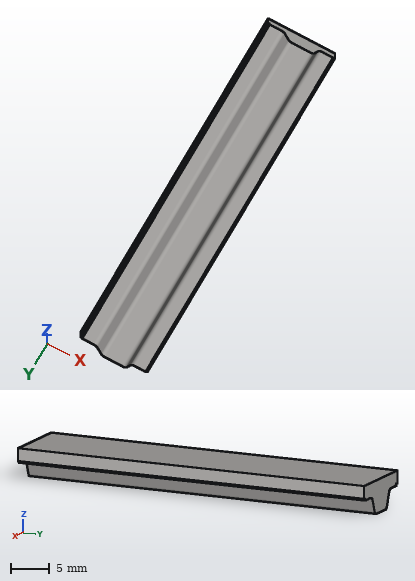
import cadquery as cq
import math

length = 50.0
width = 10.0
strip_thickness = 2.0
tooth_height = 2.5
tooth_root_width = 5.3
flank_angle = 20.0
tooth_radius = 0.6
step_size = 0.25

half_width = width / 2
half_root = tooth_root_width / 2
half_tip = half_root - tooth_height * math.tan(math.radians(flank_angle))
top_z = (tooth_height + strip_thickness) / 2
tip_z = -top_z
strip_bottom_z = top_z - strip_thickness
step_x = half_width - step_size
step_z = strip_bottom_z + step_size


def make_blank():
    """Sharp-edged T-shaped section extruded along Y and centred on it."""
    outline = [
        (-half_width, top_z),
        (half_width, top_z),
        (half_width, step_z),
        (step_x, step_z),
        (step_x, strip_bottom_z),
        (half_root, strip_bottom_z),
        (half_tip, tip_z),
        (-half_tip, tip_z),
        (-half_root, strip_bottom_z),
        (-step_x, strip_bottom_z),
        (-step_x, step_z),
        (-half_width, step_z),
    ]
    return cq.Workplane("XZ").polyline(outline).close().extrude(length / 2, both=True)


def edges_at(x, z):
    """Select the two mirrored lengthwise edges at distance x and height z."""
    selector = cq.selectors.NearestToPointSelector
    return selector((x, 0, z)) + selector((-x, 0, z))


blank = make_blank()
tooth_edges = edges_at(half_root, strip_bottom_z) + edges_at(half_tip, tip_z)
result = blank.edges(tooth_edges).fillet(tooth_radius)